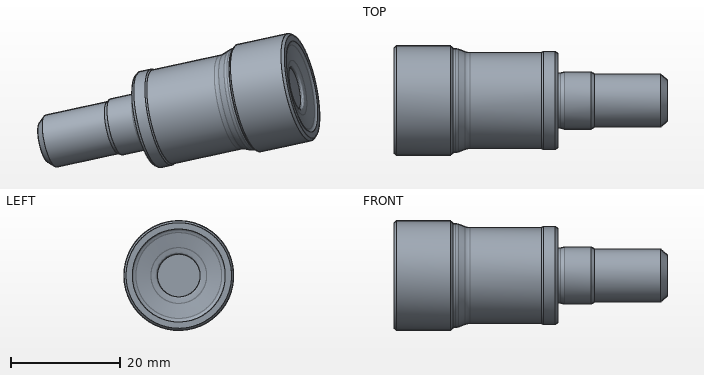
import cadquery as cq
import math

cap_back = 10.75
housing_end = 30.0
overall_length = 50.0

cap_radius = 10.05
cap_front_edge = (0.5, 0.4)
cap_back_edge = (0.45, 0.4)
recess_mouth_radius = 8.5
recess_wall_radius = 7.85
recess_wall_depth = 0.4
dish_inner_radius = 5.1
dish_inner_depth = 0.9
dimple_radius = 3.9
lip_depth = 1.45
dimple_depth = 1.7

shoulder_radius = 19.0 / 2
shoulder_end = 11.2
taper_start = 11.8
taper_end = 13.0
barrel_start = 13.9
barrel_radius = 17.6 / 2
taper_angle = math.radians(18.0)

flange_radius = 18.0 / 2
flange_ramp = (27.0, 27.3)
flange_edge = (0.55, 0.4)

neck_radius = 5.05
neck_end = 30.45
collar_radius = 10.5 / 2
collar_start = 31.2
collar_end = 36.0
shank_start = 36.65
shank_radius = 9.75 / 2
tip_start = 48.7
tip_radius = 3.75


def revolve_about_x(profile):
    """Turn a closed (x, radius) profile into a solid of revolution about X."""
    return profile.close().revolve(360, (0, 0, 0), (1, 0, 0))


def make_cap():
    """Bumper cap with a dished front face and a rounded central dimple."""
    dish_slope = (recess_wall_depth - dish_inner_depth, recess_wall_radius - dish_inner_radius)
    profile = (
        cq.Workplane("XY")
        .moveTo(dimple_depth, 0)
        .lineTo(dimple_depth, dimple_radius)
        .lineTo(lip_depth, dimple_radius)
        .spline(
            [(dish_inner_depth, dish_inner_radius)],
            tangents=[(-1, 0), dish_slope],
            includeCurrent=True,
        )
        .lineTo(recess_wall_depth, recess_wall_radius)
        .tangentArcPoint((0, recess_mouth_radius), relative=False)
        .lineTo(0, cap_radius - cap_front_edge[1])
        .lineTo(cap_front_edge[0], cap_radius)
        .lineTo(cap_back - cap_back_edge[0], cap_radius)
        .lineTo(cap_back, cap_radius - cap_back_edge[1])
        .lineTo(cap_back, 0)
    )
    return revolve_about_x(profile)


def make_housing():
    """Barrel with a smooth front taper and a rear flange, carrying the stud."""
    blend_drop = math.tan(taper_angle / 2)
    taper_front_radius = shoulder_radius - (taper_start - shoulder_end) * blend_drop
    taper_back_radius = barrel_radius + (barrel_start - taper_end) * blend_drop
    profile = (
        cq.Workplane("XY")
        .moveTo(cap_back, 0)
        .lineTo(cap_back, shoulder_radius)
        .lineTo(shoulder_end, shoulder_radius)
        .tangentArcPoint((taper_start, taper_front_radius), relative=False)
        .lineTo(taper_end, taper_back_radius)
        .tangentArcPoint((barrel_start, barrel_radius), relative=False)
        .lineTo(flange_ramp[0], barrel_radius)
        .lineTo(flange_ramp[1], flange_radius)
        .lineTo(housing_end - flange_edge[0], flange_radius)
        .lineTo(housing_end, flange_radius - flange_edge[1])
        .lineTo(housing_end, neck_radius)
        .lineTo(neck_end, neck_radius)
        .lineTo(collar_start, collar_radius)
        .lineTo(collar_end, collar_radius)
        .lineTo(shank_start, shank_radius)
        .lineTo(tip_start, shank_radius)
        .lineTo(overall_length, tip_radius)
        .lineTo(overall_length, 0)
    )
    return revolve_about_x(profile)


cap = make_cap()
housing = make_housing()
result = cq.Compound.makeCompound([cap.val(), housing.val()])